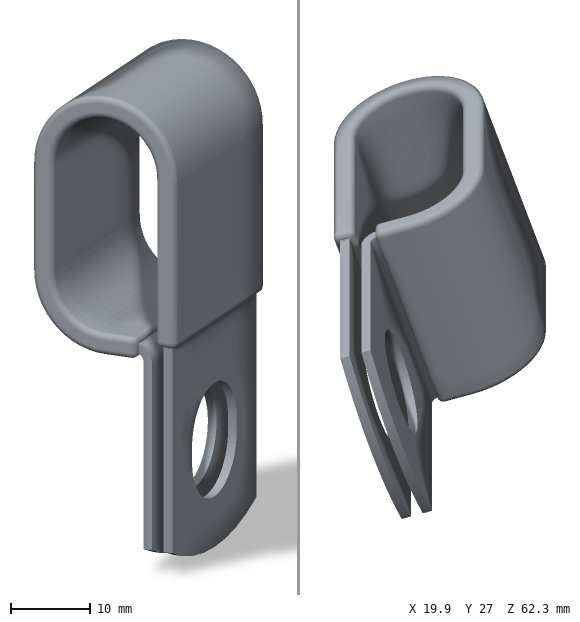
import cadquery as cq
import math

overall_width = 19.886
overall_height = 62.29
strap_width = 25.4
cushion_cover = 0.79375
opening_width = 14.2875
side_length = 14.2875
leg_gap = 1.5875
lower_straight = 3.64
hole_diameter = 13.49
slot_stretch = 0.79375
hole_height = 14.25
tip_sagitta = 2.92

outer_radius = overall_width / 2
inner_radius = opening_width / 2
cushion_width = strap_width + 2 * cushion_cover
edge_radius = cushion_cover
lower_bend_middle = 225
fold_middle = 45
lower_bend_z = -side_length
floor_z = lower_bend_z - inner_radius
cushion_leg_end_z = floor_z - cushion_cover
cushion_floor_end_x = lower_straight + cushion_cover

strap_outer_radius = outer_radius - cushion_cover
strap_inner_radius = inner_radius + cushion_cover
strap_thickness = strap_outer_radius - strap_inner_radius
bottom_z = outer_radius - overall_height
front_leg_outer_x = strap_inner_radius - leg_gap
front_leg_inner_x = front_leg_outer_x - strap_thickness
mid_gap_x = front_leg_outer_x + leg_gap / 2
fold_inner_radius = strap_thickness
fold_outer_radius = fold_inner_radius + strap_thickness
fold_center_x = front_leg_outer_x - fold_outer_radius
fold_center_z = lower_bend_z - strap_inner_radius - fold_outer_radius


def arc_point(radius, angle, center_x=0, center_z=0):
    """Point on an XZ circle, with the angle in degrees from +X towards +Z."""
    turn = math.radians(angle)
    return center_x + radius * math.cos(turn), center_z + radius * math.sin(turn)


def start_outer_loop(outer, start_z):
    """Outer line of the loop: up the long side, over the top and round the lower bend."""
    return (
        cq.Workplane("XZ")
        .moveTo(outer, start_z)
        .lineTo(outer, 0)
        .threePointArc((0, outer), (-outer, 0))
        .lineTo(-outer, lower_bend_z)
        .threePointArc(arc_point(outer, lower_bend_middle, 0, lower_bend_z), (0, lower_bend_z - outer))
    )


def close_inner_loop(outline, inner, end_z):
    """Inner line of the loop, followed back from the loop bottom to the long side."""
    return (
        outline
        .lineTo(0, lower_bend_z - inner)
        .threePointArc(arc_point(inner, lower_bend_middle, 0, lower_bend_z), (-inner, lower_bend_z))
        .lineTo(-inner, 0)
        .threePointArc((0, inner), (inner, 0))
        .lineTo(inner, end_z)
        .close()
    )


def make_cushion():
    """Rubber cover of the loop, with every edge rounded."""
    outline = (
        start_outer_loop(outer_radius, cushion_leg_end_z)
        .lineTo(cushion_floor_end_x, lower_bend_z - outer_radius)
        .lineTo(cushion_floor_end_x, floor_z)
    )
    outline = close_inner_loop(outline, inner_radius, cushion_leg_end_z)
    body = outline.extrude(cushion_width / 2, both=True)
    rims = body.faces("|Y").edges()
    end_region = cq.selectors.BoxSelector(
        (lower_straight, -cushion_width, lower_bend_z - overall_width),
        (overall_width, cushion_width, lower_bend_z),
    )
    end_edges = body.edges("|Y").edges(end_region)
    return rims.add(end_edges).fillet(edge_radius)


def make_strap():
    """Metal band: loop, fold at the loop bottom, and two parallel legs."""
    outline = (
        start_outer_loop(strap_outer_radius, bottom_z)
        .lineTo(fold_center_x, lower_bend_z - strap_outer_radius)
        .threePointArc(
            arc_point(fold_inner_radius, fold_middle, fold_center_x, fold_center_z),
            (front_leg_inner_x, fold_center_z),
        )
        .lineTo(front_leg_inner_x, bottom_z)
        .lineTo(front_leg_outer_x, bottom_z)
        .lineTo(front_leg_outer_x, fold_center_z)
        .threePointArc(
            arc_point(fold_outer_radius, fold_middle, fold_center_x, fold_center_z),
            (fold_center_x, lower_bend_z - strap_inner_radius),
        )
    )
    outline = close_inner_loop(outline, strap_inner_radius, bottom_z)
    return outline.extrude(strap_width / 2, both=True)


def make_leg_envelope():
    """Face-on outline of the strap, with its arched lower tip."""
    half = strap_width / 2
    return (
        cq.Workplane("YZ")
        .moveTo(-half, bottom_z + tip_sagitta)
        .threePointArc((0, bottom_z), (half, bottom_z + tip_sagitta))
        .lineTo(half, outer_radius)
        .lineTo(-half, outer_radius)
        .close()
        .extrude(overall_width, both=True)
    )


def make_bolt_hole():
    """Round hole through the front leg only."""
    return (
        cq.Workplane("YZ", origin=(0, 0, bottom_z + hole_height))
        .circle(hole_diameter / 2)
        .extrude(mid_gap_x)
    )


def make_bolt_slot():
    """Upright slot through the long back leg, in line with the round hole."""
    slot_length = hole_diameter + 2 * slot_stretch
    slot_angle = 90
    return (
        cq.Workplane("YZ", origin=(mid_gap_x, 0, bottom_z + hole_height))
        .slot2D(slot_length, hole_diameter, slot_angle)
        .extrude(overall_width)
    )


strap = make_strap().intersect(make_leg_envelope()).cut(make_bolt_hole()).cut(make_bolt_slot())
result = make_cushion().union(strap)